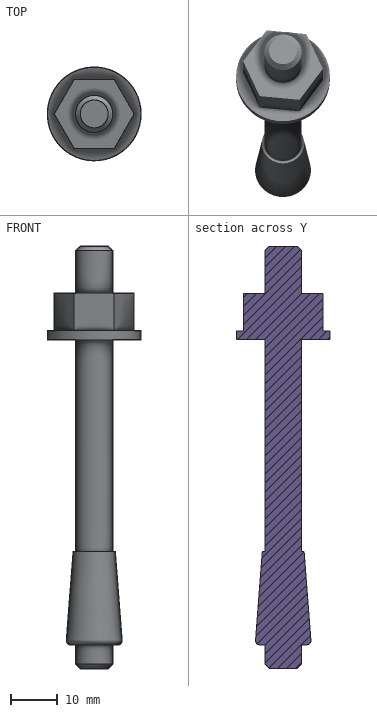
import cadquery as cq
import math

total_length = 90
rod_radius = 4.0
end_chamfer = 1.0

washer_radius = 10.0
washer_thickness = 2.0
washer_bottom = 70.0
nut_across_flats = 14.8
nut_height = 8.0

sleeve_bottom = 5.0
sleeve_top = 25.0
sleeve_top_radius = 4.5
sleeve_bottom_radius = 6.0
sleeve_rim_radius = 1.0

rod = cq.Workplane("XY").circle(rod_radius).extrude(total_length)
rod = rod.faces("<Z or >Z").chamfer(end_chamfer)

sleeve = (
    cq.Workplane("XZ")
    .moveTo(0, sleeve_bottom)
    .lineTo(sleeve_bottom_radius, sleeve_bottom)
    .lineTo(sleeve_top_radius, sleeve_top)
    .lineTo(0, sleeve_top)
    .close()
    .revolve(360, (0, 0, 0), (0, 1, 0))
    .faces("<Z")
    .edges()
    .fillet(sleeve_rim_radius)
)

washer = (
    cq.Workplane("XY")
    .workplane(offset=washer_bottom)
    .circle(washer_radius)
    .extrude(washer_thickness)
)

nut_across_corners = nut_across_flats / math.cos(math.pi / 6)
nut = (
    cq.Workplane("XY")
    .workplane(offset=washer_bottom + washer_thickness)
    .polygon(6, nut_across_corners)
    .extrude(nut_height)
)

result = rod.union(sleeve).union(washer).union(nut)